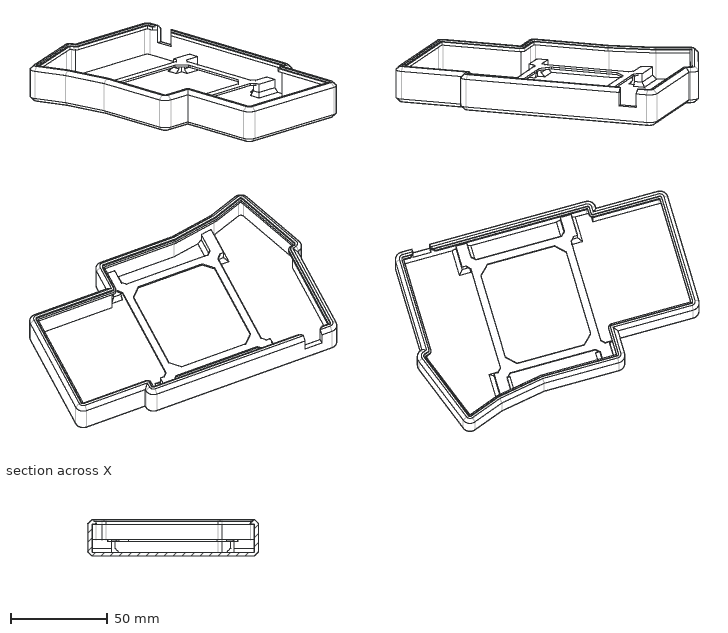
import cadquery as cq
import math

case_height = 19.0
floor_thickness = 2.0
rim_step = 0.9
lip_thickness = 1.6

wall_thickness = 2.4
lip_overhang = 2.0
rim_width = lip_overhang / 2
edge_chamfer = 2.1

skew = math.radians(20)
left_x = 7.9
step_x = 107.5
right_x = 145.1
inset_x = 100.1
top_y = 95.0
upper_right_y = 90.0
lower_right_y = 31.5
bottom_y = 14.8

skew_corner = (17.8, 4.3)
skew_length = 39.3
skew_end = (
    skew_corner[0] - skew_length * math.sin(skew),
    skew_corner[1] + skew_length * math.cos(skew),
)
skew_meets_left_y = skew_end[1] + (left_x - skew_end[0]) * math.tan(skew)
lower_bend = (34.5, 10.5)
upper_bend_x = 59.3

notch_x = 13.6
notch_width = 9.5
notch_floor_z = 9.7

frame_x = 68.0
frame_y = 55.1
frame_opening_x = 46.2
frame_opening_y = 55.9
frame_opening_chamfer = 5.0
frame_bar = 4.0
frame_thickness = 1.0
frame_top_z = 8.5
post_width = 6.0
post_spacing = 56.5
post_setback = 2.1
post_length = 22.4
foot_flare = 2.1
neck_reach = 2.0


def lip_corners():
    """Corners of the lip opening, clockwise from the back left."""
    return [
        (left_x, top_y),
        (step_x, top_y),
        (step_x, upper_right_y),
        (right_x, upper_right_y),
        (right_x, lower_right_y),
        (inset_x, lower_right_y),
        (inset_x, bottom_y),
        (upper_bend_x, bottom_y),
        lower_bend,
        skew_corner,
        skew_end,
        (left_x, skew_meets_left_y),
    ]


def cavity_outline(base_z):
    """Inner face of the wall, rounded at the outward corners."""
    return cq.Workplane("XY").workplane(offset=base_z).polyline(lip_corners()).close().offset2D(lip_overhang)


def inner_prism(base_z, top_z, offset):
    """Prism whose sides lie at an offset from the inner face of the wall."""
    wire = cavity_outline(base_z).val()
    if offset:
        wire = wire.offset2D(offset, "arc")[0]
    return cq.Workplane("XY").add(wire).toPending().extrude(top_z - base_z)


def make_shell():
    shell = inner_prism(0, case_height, wall_thickness)
    shell = shell.faces("<Z or >Z").edges().chamfer(edge_chamfer)
    ledge_z = case_height - rim_step
    lip_bottom_z = ledge_z - lip_thickness
    shell = shell.cut(inner_prism(floor_thickness, lip_bottom_z, 0))
    shell = shell.cut(inner_prism(lip_bottom_z, ledge_z, -lip_overhang))
    return shell.cut(inner_prism(ledge_z, case_height, -rim_width))


def cut_notch(shell):
    """Open the back wall, with the lip cut back at 45 degrees on both sides."""
    wall_inner_y = top_y + lip_overhang
    lip_inner_y = top_y
    wall_outer_y = wall_inner_y + wall_thickness
    notch_end = notch_x + notch_width
    notch = (
        cq.Workplane("XY")
        .workplane(offset=notch_floor_z)
        .polyline([
            (notch_x, wall_outer_y),
            (notch_end, wall_outer_y),
            (notch_end, wall_inner_y),
            (notch_end + lip_overhang, lip_inner_y),
            (notch_x - lip_overhang, lip_inner_y),
            (notch_x, wall_inner_y),
        ])
        .close()
        .extrude(case_height - notch_floor_z)
    )
    return shell.cut(notch)


def make_ring():
    """Flat ring carried by the posts, with a corner-chamfered opening."""
    opening = (
        cq.Workplane("XY")
        .box(frame_opening_x, frame_opening_y, frame_thickness)
        .edges("|Z")
        .chamfer(frame_opening_chamfer)
    )
    ring = cq.Workplane("XY").box(
        frame_opening_x + 2 * frame_bar, frame_opening_y + 2 * frame_bar, frame_thickness
    )
    ring_z = frame_top_z - frame_thickness / 2
    return ring.cut(opening).translate((frame_x, frame_y, ring_z))


def make_post(side_x, side_y):
    """Post running into the side wall, its flared foot and its diagonal neck."""
    end_y = frame_opening_y / 2 + post_setback
    center_x = post_spacing / 2

    def bar(width, start_y, height, taper=0):
        return (
            cq.Workplane("XY")
            .workplane(offset=floor_thickness)
            .center(center_x, start_y + post_length / 2)
            .rect(width, post_length)
            .extrude(height, taper=taper)
        )

    post = bar(post_width, end_y, frame_top_z - floor_thickness)
    foot_width = post_width + 2 * foot_flare
    foot = bar(foot_width, end_y - foot_flare, foot_flare, taper=45)

    opening_corner_x = frame_opening_x / 2
    opening_corner_y = frame_opening_y / 2
    outer_x = opening_corner_x + frame_bar
    outer_y = opening_corner_y + frame_bar
    neck = (
        cq.Workplane("XY")
        .workplane(offset=frame_top_z - frame_thickness)
        .polyline([
            (outer_x, opening_corner_y),
            (outer_x + neck_reach, opening_corner_y + neck_reach),
            (opening_corner_x + neck_reach, outer_y + neck_reach),
            (opening_corner_x, outer_y),
        ])
        .close()
        .extrude(frame_thickness)
    )
    clearance = cq.Workplane("XY").box(2 * outer_x, 2 * outer_y, 2 * (frame_top_z - frame_thickness))
    corner = post.union(foot).cut(clearance).union(neck)
    if side_x < 0:
        corner = corner.mirror("YZ")
    if side_y < 0:
        corner = corner.mirror("XZ")
    return corner.translate((frame_x, frame_y, 0))


def make_frame():
    """Ring and posts, trimmed to the inner face of the wall."""
    frame = make_ring()
    for side_x in (-1, 1):
        for side_y in (-1, 1):
            frame = frame.union(make_post(side_x, side_y))
    return frame.intersect(inner_prism(0, case_height, 0))


result = cut_notch(make_shell()).union(make_frame())